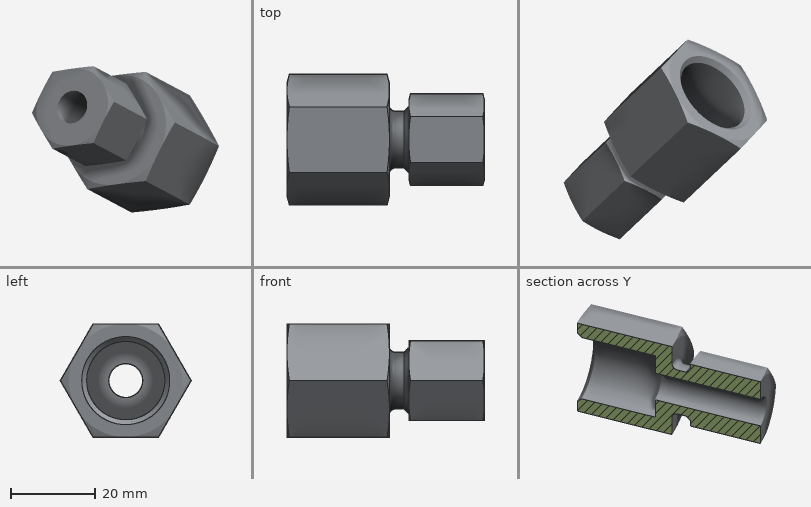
import cadquery as cq
import math

total_length = 47.0
large_hex_length = 24.37
small_hex_start = 29.0

large_across_flats = 27.0
small_across_flats = 19.0
hex_sides = 6
hex_chamfer_angle = math.radians(15)

neck_diameter = 13.6
collar_diameter = 15.8
collar_rise = (collar_diameter - neck_diameter) / 2
neck_fillet_radius = 1.4
cone_length = collar_rise

through_diameter = 8.0
socket_diameter = 18.63
socket_mouth_diameter = 20.96
socket_depth = 20.0
mouth_chamfer = (socket_mouth_diameter - socket_diameter) / 2


def revolve_about_x(profile):
    """Revolve a closed (x, radius) profile about the X axis."""
    return profile.close().revolve(360, (0, 0, 0), (1, 0, 0))


def chamfered_hexagon(start, length, across_flats):
    """Hexagonal bar along X with flats facing +Z and -Z and both ends turned to a cone."""
    flat_radius = across_flats / 2
    corner_radius = flat_radius / math.cos(math.pi / hex_sides)
    chamfer_length = (corner_radius - flat_radius) * math.tan(hex_chamfer_angle)
    end = start + length

    bar = (
        cq.Workplane("YZ", origin=(start, 0, 0))
        .polygon(hex_sides, 2 * corner_radius)
        .extrude(length)
    )
    turned_envelope = revolve_about_x(
        cq.Workplane("XY")
        .moveTo(start, 0)
        .lineTo(start, flat_radius)
        .lineTo(start + chamfer_length, corner_radius)
        .lineTo(end - chamfer_length, corner_radius)
        .lineTo(end, flat_radius)
        .lineTo(end, 0)
    )
    return bar.intersect(turned_envelope)


def make_neck():
    """Round neck with a concave fillet at the large hexagon and a cone at the small one."""
    neck_radius = neck_diameter / 2
    collar_radius = collar_diameter / 2
    fillet_center_radius = neck_radius + neck_fillet_radius
    fillet_angle = math.acos((fillet_center_radius - collar_radius) / neck_fillet_radius)
    fillet_end = large_hex_length + neck_fillet_radius * math.sin(fillet_angle)
    fillet_middle = (
        fillet_end - neck_fillet_radius * math.sin(fillet_angle / 2),
        fillet_center_radius - neck_fillet_radius * math.cos(fillet_angle / 2),
    )
    return revolve_about_x(
        cq.Workplane("XY")
        .moveTo(large_hex_length, 0)
        .lineTo(large_hex_length, collar_radius)
        .threePointArc(fillet_middle, (fillet_end, neck_radius))
        .lineTo(small_hex_start - cone_length, neck_radius)
        .lineTo(small_hex_start, collar_radius)
        .lineTo(small_hex_start, 0)
    )


def make_bore():
    """Socket with a chamfered mouth, continued by the through hole."""
    socket_radius = socket_diameter / 2
    through_radius = through_diameter / 2
    return revolve_about_x(
        cq.Workplane("XY")
        .moveTo(0, 0)
        .lineTo(0, socket_mouth_diameter / 2)
        .lineTo(mouth_chamfer, socket_radius)
        .lineTo(socket_depth, socket_radius)
        .lineTo(socket_depth, through_radius)
        .lineTo(total_length, through_radius)
        .lineTo(total_length, 0)
    )


large_hex = chamfered_hexagon(0, large_hex_length, large_across_flats)
small_hex = chamfered_hexagon(small_hex_start, total_length - small_hex_start, small_across_flats)

result = large_hex.union(make_neck()).union(small_hex).cut(make_bore())